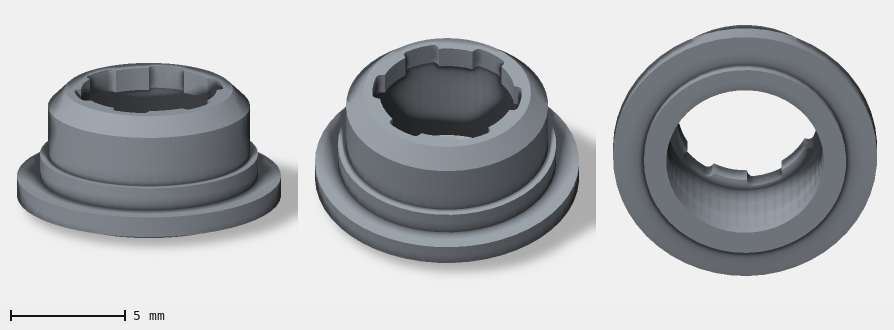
import cadquery as cq

height = 5.35
body_diameter = 8.8
flange_diameter = 11.5
flange_bottom = 0.5
flange_top = 1.4
collar_diameter = 9.5
collar_top = 2.4
top_chamfer = 0.75

lip_thickness = 1.0
opening_diameter = 5.9
slot_count = 6
slot_diameter = 6.5
slot_width = 1.58
slot_corner_radius = 0.25
first_slot_angle = 30

cavity_height = height - lip_thickness
cavity_end_radius = 3.43
cavity_waist_radius = 3.375


def cylinder(diameter, bottom, top):
    """Upright cylinder on the part axis."""
    return cq.Workplane("XY", origin=(0, 0, bottom)).circle(diameter / 2).extrude(top - bottom)


def outer_body():
    """Chamfered barrel carrying the wide flange and the narrower collar above it."""
    barrel = cylinder(body_diameter, 0, height).faces(">Z").chamfer(top_chamfer)
    flange = cylinder(flange_diameter, flange_bottom, flange_top)
    collar = cylinder(collar_diameter, flange_top, collar_top)
    return barrel.union(flange).union(collar)


def slot_pair():
    """Bar across the opening, cutting two opposite slots with rounded outer corners."""
    lip_bottom = cq.Workplane("XY", origin=(0, 0, cavity_height))
    bar = lip_bottom.rect(slot_diameter, slot_width).extrude(lip_thickness)
    rounded_ends = cylinder(slot_diameter, cavity_height, height)
    return bar.intersect(rounded_ends).edges("|Z").fillet(slot_corner_radius)


def keyed_opening():
    """Round opening through the lip with evenly spaced slots around its edge."""
    opening = cylinder(opening_diameter, cavity_height, height)
    pitch = 360 / slot_count
    for index in range(slot_count // 2):
        angle = first_slot_angle + index * pitch
        opening = opening.union(slot_pair().rotate((0, 0, 0), (0, 0, 1), angle))
    return opening


def cavity():
    """Revolved space, open at the bottom, from the base up to the lip."""
    return (
        cq.Workplane("XZ")
        .lineTo(cavity_end_radius, 0)
        .threePointArc((cavity_waist_radius, cavity_height / 2), (cavity_end_radius, cavity_height))
        .lineTo(0, cavity_height)
        .close()
        .revolve(360, (0, 0), (0, 1))
    )


result = outer_body().cut(cavity()).cut(keyed_opening())